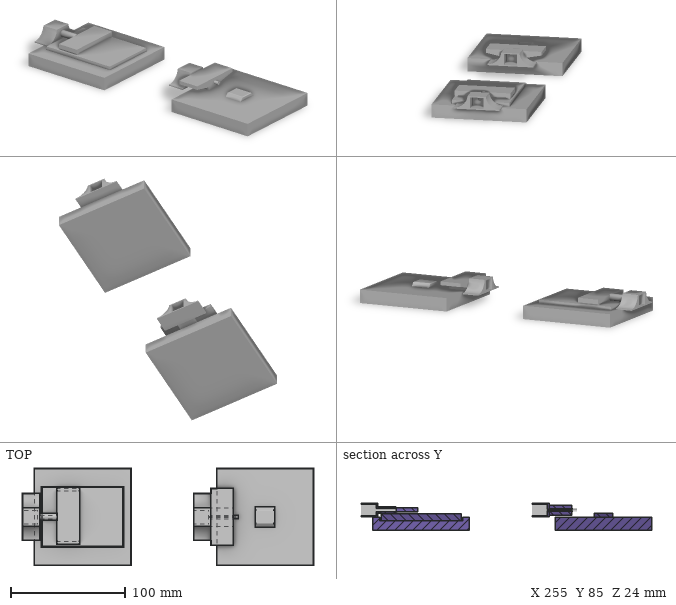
import cadquery as cq

plate_side = 85.0
plate_thickness = 12.0
pad_plate_x = 10.2
overall_length = 255
chip_plate_x = overall_length - plate_side

handle_length = 15.0
handle_width = 41.0
handle_height = 12.0
handle_top_width = 16.3
handle_tip_thickness = 1.0
handle_wall = 1.0
pocket_end_wall = 2.0
pocket_width = 11.7
stem_handle_x = 0
needle_handle_x = 150.0
axis_z = plate_thickness + handle_height / 2

stem_diameter = 6.0
stem_end_x = 30.5
needle_diameter = 3.0
needle_end_x = 189.2
needle_bore = 1.0

pad_length = 70.6
pad_width = 51.5
pad_seat_depth = 3.0
pad_clearance = 0.8
pad_center_x = pad_plate_x + plate_side / 2
pad_top = axis_z - stem_diameter / 2

bar_length = 50.0
bar_depth = 20.0

stem_bar_x = 30.0
stem_bar_y = 0.8
stem_bar_top = 20.1
stem_bar_side = 4.0
stem_bar_lean = 0.5
stem_bar_foot = 2.3

needle_bar_x = needle_handle_x + handle_length
needle_bar_top = 22.5
needle_bar_side = 3.3
keel_top = 15.8
keel_bottom = plate_thickness + handle_tip_thickness
keel_width = handle_top_width

chip_length = 16.8
chip_width = 17.8
chip_height = 3.5
chip_inset = 3.0
chip_edge_radius = 0.8
chip_x = 204


def box(x, length, width, bottom, top):
    base = cq.Workplane("XY", origin=(x, 0, bottom))
    return base.box(length, width, top - bottom, centered=(False, True, False))


def rod(x_start, x_end, diameter):
    return cq.Workplane("YZ", origin=(x_start, 0, axis_z)).circle(diameter / 2).extrude(x_end - x_start)


def make_pad():
    return box(pad_center_x - pad_length / 2, pad_length, pad_width,
               plate_thickness - pad_seat_depth, pad_top)


def make_pad_plate():
    plate = box(pad_plate_x, plate_side, plate_side, 0, plate_thickness)
    seat_length = pad_length + 2 * pad_clearance
    seat = box(pad_center_x - seat_length / 2, seat_length, pad_width + 2 * pad_clearance,
               plate_thickness - pad_seat_depth, plate_thickness)
    return plate.cut(seat)


def make_chip_plate():
    return box(chip_plate_x, plate_side, plate_side, 0, plate_thickness)


def make_handle(x, rod_diameter, rod_end_x, bore):
    half_width = handle_width / 2
    half_top = handle_top_width / 2
    bottom = plate_thickness
    top = bottom + handle_height
    tip = bottom + handle_tip_thickness
    run = half_width - half_top
    rise = top - tip
    flare = (run ** 2 + rise ** 2) / (2 * rise)
    profile = (
        cq.Workplane("YZ", origin=(x, 0, 0))
        .moveTo(-half_width, bottom)
        .lineTo(half_width, bottom)
        .lineTo(half_width, tip)
        .radiusArc((half_top, top), flare)
        .lineTo(-half_top, top)
        .radiusArc((-half_width, tip), flare)
        .close()
    )
    pocket_depth = handle_length - pocket_end_wall
    pocket = box(x, pocket_depth, pocket_width, bottom + handle_wall, top - handle_wall)
    handle = profile.extrude(handle_length).cut(pocket)
    handle = handle.union(rod(x + handle_length, rod_end_x, rod_diameter))
    return handle.cut(rod(x + pocket_depth, rod_end_x, bore))


def extrude_bar(x, y, half_profile):
    """Extrude a bar along X from its +Y half profile, mirrored about Y = y."""
    mirrored = [(-across, up) for across, up in reversed(half_profile)]
    return cq.Workplane("YZ", origin=(x, y, 0)).polyline(half_profile + mirrored).close().extrude(bar_depth)


def make_stem_bar():
    half = bar_length / 2
    underside = stem_bar_top - stem_bar_side
    foot_inner = half - stem_bar_lean - stem_bar_foot
    bar = extrude_bar(stem_bar_x, stem_bar_y, [
        (half, stem_bar_top),
        (half, underside),
        (half - stem_bar_lean, pad_top),
        (foot_inner, pad_top),
        (foot_inner, underside),
    ])
    return bar.cut(rod(stem_bar_x, stem_end_x, stem_diameter))


def make_needle_bar():
    half = bar_length / 2
    bar = extrude_bar(needle_bar_x, 0, [
        (half, needle_bar_top),
        (half, needle_bar_top - needle_bar_side),
        (keel_width / 2, keel_top),
        (keel_width / 2, keel_bottom),
    ])
    return bar.cut(rod(needle_bar_x, needle_bar_x + bar_depth, needle_diameter))


def make_chip():
    half = chip_width / 2
    half_top = half - chip_inset
    top = plate_thickness + chip_height
    chip = (
        cq.Workplane("YZ", origin=(chip_x, 0, 0))
        .polyline([(-half, plate_thickness), (half, plate_thickness), (half_top, top), (-half_top, top)])
        .close()
        .extrude(chip_length)
    )
    return chip.faces(">Z").edges().fillet(chip_edge_radius)


pad_plate = make_pad_plate()
pad = make_pad()
stem_handle = make_handle(stem_handle_x, stem_diameter, stem_end_x, needle_diameter)
stem_bar = make_stem_bar()
chip_plate = make_chip_plate()
chip = make_chip()
needle_handle = make_handle(needle_handle_x, needle_diameter, needle_end_x, needle_bore)
needle_bar = make_needle_bar()

result = cq.Compound.makeCompound([
    pad_plate.val(), pad.val(), stem_handle.val(), stem_bar.val(),
    chip_plate.val(), chip.val(), needle_handle.val(), needle_bar.val(),
])